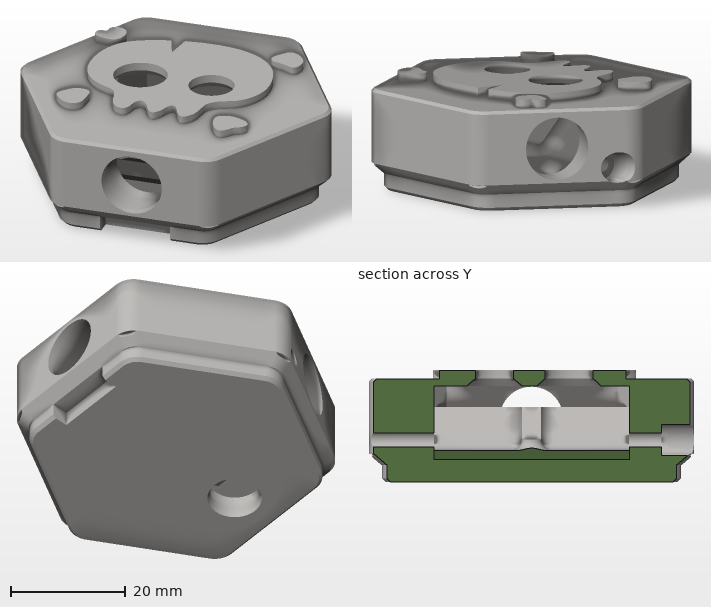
import cadquery as cq
import math

across_flats = 50.0
apothem = across_flats / 2
corner_radius = 4.0
tile_top = 18.0
top_chamfer = 0.5

plug_inset = 2.0
plug_apothem = apothem - plug_inset
plug_height = 3.0
plug_bottom_chamfer = 0.6
notch_width = 12.75
notch_depth = 5.05

wall = 4.0
floor_top = 4.0
ceiling = 16.65
cavity_half_width = 16.95
cavity_front_y = -16.4

port_diameter = 11.0
port_height = 11.1
port_angles = (-90, 30, 150)

pin_y = 3.05
pin_z = 7.35
pin_diameter = 2.75
counterbore_diameter = 5.5
counterbore_floor_x = -22.6

relief_top = 19.5
eyes = ((-6.5, 9.5), (6.5, 8.0))

deck_z = port_height - port_diameter / 2
drop_hole_diameter = 9.5
countersink_diameter = port_diameter
drop_hole_y = 13.8
scoop_radius = 3.85
scoop_angle = 45
ridge_z = 13.05
nose_z = 10.6
face_top_z = 9.15
face_bottom_z = 6.05
face_tilt = 9
undercut_tilt = 48
ridge_width = 2.7
nose_half_width = 3.95
nose_facet_depth = 1.8
rib_width = 3.3
rib_fillet = 1.85

crack_tip = (-4.0, 10.0)
skull_edge = [
    (-3.15, 14.85), (2.05, 15.25), (6.6, 14.75), (11.15, 12.9), (14.3, 9.7), (15.95, 5.05),
    (15.95, 0.95), (14.75, -2.0), (12.6, -4.25), (9.6, -5.6), (7.9, -7.25), (7.45, -9.4),
    (6.7, -11.8), (5.2, -13.05), (4.05, -11.8), (3.2, -10.0), (2.6, -9.4), (2.0, -9.9),
    (0.9, -12.2), (-0.1, -13.05), (-1.5, -11.6), (-2.7, -9.65), (-3.35, -9.4), (-4.0, -9.9),
    (-4.65, -12.0), (-5.4, -13.05), (-6.4, -13.0), (-7.85, -11.35), (-8.5, -8.8), (-9.2, -7.1),
    (-11.65, -5.7), (-14.2, -3.85), (-16.0, -0.75), (-16.45, 2.9), (-15.7, 7.1), (-13.8, 10.55),
    (-10.4, 12.8), (-5.5, 14.4),
]

heart_outlines = [
    [(-17.3, 14.7), (-16.1, 16.45), (-14.4, 15.9), (-13.8, 13.95), (-15.1, 11.7), (-17.2, 11.8),
     (-19.0, 12.9), (-18.7, 14.3), (-17.85, 14.45)],
    [(16.0, 16.45), (17.7, 15.55), (18.85, 12.5), (18.0, 10.95), (15.7, 11.7), (13.35, 12.65),
     (13.2, 13.4), (14.5, 15.4)],
    [(-14.2, -8.1), (-12.95, -8.8), (-12.8, -10.5), (-13.55, -13.5), (-14.85, -14.0),
     (-17.3, -12.7), (-18.2, -11.15), (-17.25, -9.5)],
    [(13.0, -10.4), (16.0, -11.15), (17.1, -12.5), (16.45, -13.7), (15.25, -14.35), (14.3, -15.5),
     (13.15, -16.15), (11.75, -15.0), (10.95, -12.8), (11.3, -10.95)],
]


def hexagon(inradius, bottom, top):
    """Sharp-cornered hexagonal prism between two heights."""
    corner_to_corner = 2 * inradius / math.cos(math.radians(30))
    return cq.Workplane("XY").workplane(offset=bottom).polygon(6, corner_to_corner).extrude(top - bottom)


def tile_blank():
    """Chamfered tile body standing on its inset plug."""
    body = hexagon(apothem, plug_height, tile_top).faces("<Z").chamfer(plug_inset)
    body = body.edges("not #Z").fillet(corner_radius).faces(">Z").chamfer(top_chamfer)
    plug = hexagon(plug_apothem, 0, plug_height).edges("|Z").fillet(corner_radius)
    plug = plug.faces("<Z").chamfer(plug_bottom_chamfer)
    return body.union(plug)


def cavity():
    """Hexagonal room with its two corner ends and its front cut off square."""
    room = hexagon(apothem - wall, floor_top, ceiling)
    limits = cq.Workplane("XY", origin=(0, cavity_front_y, 0)).box(
        2 * cavity_half_width, across_flats, ceiling, centered=(True, False, False)
    )
    return room.intersect(limits)


def port(angle):
    """Round bore running inwards from one side face to the axis of the tile."""
    bore = cq.Workplane("YZ").center(0, port_height).circle(port_diameter / 2).extrude(apothem)
    return bore.rotate((0, 0, 0), (0, 0, 1), angle)


def pin_hole():
    """Hole along X through both ends, with a flat counterbore at the -X end."""
    section = cq.Workplane("YZ", origin=(-across_flats, pin_y, pin_z))
    hole = section.circle(pin_diameter / 2).extrude(2 * across_flats)
    counterbore = section.circle(counterbore_diameter / 2).extrude(across_flats + counterbore_floor_x)
    return hole.union(counterbore)


def drop_hole():
    """Round hole straight down through the deck and the tile floor, with a 45 degree countersink."""
    depth = (countersink_diameter - drop_hole_diameter) / 2
    hole = cq.Workplane("XY").center(0, drop_hole_y).circle(drop_hole_diameter / 2).extrude(deck_z)
    return hole.union(
        cq.Workplane("XY").add(
            cq.Solid.makeCone(
                drop_hole_diameter / 2, countersink_diameter / 2, depth,
                pnt=cq.Vector(0, drop_hole_y, deck_z - depth),
            )
        )
    )


def front_notch():
    """Finger notch in the -Y side of the plug."""
    corner = cq.Workplane("XY", origin=(0, -apothem, 0))
    return corner.box(notch_width, notch_depth, plug_height, centered=(True, False, False))


def relief():
    """Skull and hearts raised above the tile top."""
    plane = cq.Workplane("XY").workplane(offset=tile_top)
    height = relief_top - tile_top
    raised = plane.moveTo(*crack_tip).lineTo(*skull_edge[0]).spline(skull_edge[1:], includeCurrent=True)
    raised = raised.close().extrude(height)
    for outline in heart_outlines:
        raised = raised.union(plane.spline(outline, periodic=True).close().extrude(height))
    return raised


def eye_hole(x, diameter):
    """Round hole through the skull that flares at 45 degrees through the tile roof."""
    radius = diameter / 2
    roof = tile_top - ceiling
    straight = cq.Workplane("XY", origin=(x, 0, ceiling)).circle(radius).extrude(relief_top - ceiling)
    flare = cq.Workplane("XY").add(
        cq.Solid.makeCone(radius + roof, radius, roof, pnt=cq.Vector(x, 0, ceiling))
    )
    return straight.union(flare)


def make_housing():
    housing = tile_blank().union(relief()).cut(cavity()).cut(pin_hole())
    housing = housing.cut(front_notch()).cut(drop_hole())
    for angle in port_angles:
        housing = housing.cut(port(angle))
    for x, diameter in eyes:
        housing = housing.cut(eye_hole(x, diameter))
    return housing


def scoop_points():
    """Middle and end of the scoop arc, and its upper edge, in the YZ plane."""
    half_turn = math.radians(scoop_angle / 2)
    full_turn = math.radians(scoop_angle)
    middle = (-scoop_radius * math.sin(half_turn), deck_z + scoop_radius * (1 - math.cos(half_turn)))
    end = (-scoop_radius * math.sin(full_turn), deck_z + scoop_radius * (1 - math.cos(full_turn)))
    ridge = (end[0] - (ridge_z - end[1]) / math.tan(full_turn), ridge_z)
    return middle, end, ridge


def nose_tip_y():
    """Y of the foremost edge, at the foot of the 45 degree nose face."""
    ridge = scoop_points()[2]
    return ridge[0] - ridge_width - (ridge_z - nose_z)


def ramp_block():
    """Profile with a level deck, a scoop, a ridge and an undercut nose, extruded along X."""
    middle, end, ridge = scoop_points()
    nose_y = nose_tip_y()
    undercut = math.tan(math.radians(undercut_tilt))
    face_top_y = nose_y + (nose_z - face_top_z) * undercut
    face_bottom_y = face_top_y + (face_top_z - face_bottom_z) * math.tan(math.radians(face_tilt))
    heel_y = face_bottom_y + (face_bottom_z - floor_top) * undercut
    profile = (
        cq.Workplane("YZ")
        .moveTo(apothem, floor_top)
        .lineTo(apothem, deck_z)
        .lineTo(0, deck_z)
        .threePointArc(middle, end)
        .lineTo(*ridge)
        .lineTo(ridge[0] - ridge_width, ridge_z)
        .lineTo(nose_y, nose_z)
        .lineTo(face_top_y, face_top_z)
        .lineTo(face_bottom_y, face_bottom_z)
        .lineTo(heel_y, floor_top)
        .close()
    )
    return profile.extrude(cavity_half_width, both=True)


def rib():
    """Flared rib that climbs the scoop and ends on the deck in a flared round post."""
    middle, end, ridge = scoop_points()
    foot = rib_width / 2 + rib_fillet
    inset = rib_fillet * (1 - math.sqrt(0.5))
    shoulder = (rib_width / 2, deck_z + rib_fillet)
    waist = (rib_width / 2 + inset, deck_z + inset)
    section = (
        cq.Workplane("XZ")
        .moveTo(foot, deck_z)
        .threePointArc(waist, shoulder)
        .lineTo(-shoulder[0], shoulder[1])
        .threePointArc((-waist[0], waist[1]), (-foot, deck_z))
        .close()
    )
    path = cq.Workplane("YZ").moveTo(0, deck_z).threePointArc(middle, end).lineTo(*ridge)
    post = (
        cq.Workplane("XZ")
        .moveTo(0, deck_z)
        .lineTo(foot, deck_z)
        .threePointArc(waist, shoulder)
        .lineTo(0, shoulder[1])
        .close()
        .revolve(180, (0, 0, 0), (0, 1, 0))
    )
    below_ridge = cq.Workplane("XY").box(across_flats, across_flats, 2 * ridge_z)
    return section.sweep(path).intersect(below_ridge), post


def nose_facet(direction):
    """Waste beside the nose: leaves a 45 degree facet along one end of the nose face."""
    face = cq.Plane(origin=(0, nose_tip_y(), nose_z), xDir=(1, 0, 0), normal=(0, 1, 1))
    near = direction * nose_half_width
    foot = direction * (nose_half_width + nose_facet_depth)
    far = direction * cavity_half_width
    outline = cq.Workplane(face).polyline(
        [(near, 0), (foot, nose_facet_depth), (far, nose_facet_depth), (far, -nose_facet_depth),
         (near - direction * nose_facet_depth, -nose_facet_depth)]
    )
    return outline.close().extrude(2 * (ridge_z - nose_z), both=True)


def make_ramp():
    """Insert that fills the cavity from wall to wall and is pierced by the drop hole."""
    ramp = ramp_block().intersect(cavity())
    for direction in (-1, 1):
        ramp = ramp.cut(nose_facet(direction))
    climbing_rib, post = rib()
    return ramp.union(climbing_rib).union(post).cut(drop_hole())


housing = make_housing()
ramp = make_ramp()
result = cq.Compound.makeCompound([housing.solids().val(), ramp.solids().val()])